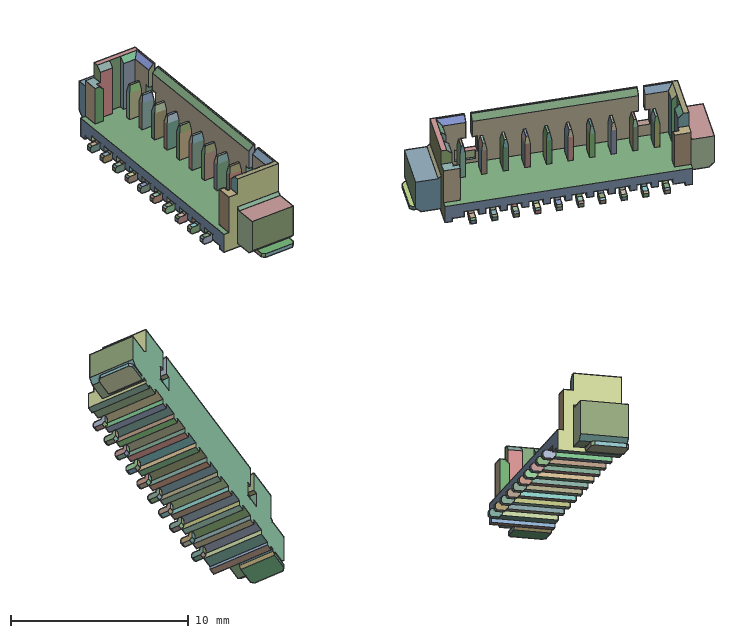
import cadquery as cq

TOTAL_LENGTH = 17.65
TOTAL_DEPTH = 4.2
TOTAL_HEIGHT = 4.7
HALF_LENGTH = TOTAL_LENGTH / 2
SIDES = (-1, 1)

HOUSING_HALF = 7.17
HOUSING_FRONT = -3.72
HOUSING_BOTTOM = 0.3
FLOOR_TOP = 1.29
WALL_FRONT = -2.8
BACK_WALL = 0.42
SIDE_WALL = 0.64
CAVITY_HALF = HOUSING_HALF - SIDE_WALL
LEAD_IN = 0.32
FOOT_WIDTH = 0.42
FOOT_BOTTOM = 0.07

POST_HALF = 6.2
POST_FRONT = -3.39
POST_TOP = 3.69
POST_BEVEL = 0.26

GROOVE_DEPTH = 0.32
GROOVE_BACK = -1.22
GROOVE_FRONT = -1.96

PIN_COUNT = 10
PIN_SPAN = 11.25
PIN_PITCH = PIN_SPAN / (PIN_COUNT - 1)
PIN_WIDTH = 0.32
PIN_BACK = -0.72
PIN_FRONT = -1.54
PIN_SHOULDER = 3.05
PIN_TOP = 3.55
TIP_WIDTH = 0.15
TIP_BACK = -0.8
TIP_FRONT = -1.43
TAIL_HEIGHT = 0.46
TAIL_BACK = -3.45
HEEL_BEVEL = 0.18
TAIL_BEVEL = 0.1
TAIL_SLOPE_FOOT = -3.7
NOTCH_WIDTH = 0.85
NOTCH_TOP = 0.67

OPENING_CENTER = (PIN_COUNT / 2 - 1) * PIN_PITCH
SLOT_WIDTH = 0.37
WINDOW_WIDTH = 0.95
WINDOW_BOTTOM = 2.1
WINDOW_TOP = 3.21
MARK_LEFT = -5.85
MARK_RIGHT = -4.62
MARK_BOTTOM = 1.55
MARK_TOP = 2.38
MARK_DEPTH = 0.12

BLOCK_HALF = 8.65
BLOCK_BOTTOM = 0.34
BLOCK_TOP = 2.63
BLOCK_CHAMFER = 0.32
BLOCK_BEVEL = 0.18
TAB_DEPTH = 2.19
TAB_THICKNESS = 0.25
TAB_INNER = 7.38
TAB_CORNER = 0.18


def box(x0, x1, y0, y1, z0, z1):
    """Box between two opposite corners, given in any order."""
    size = (abs(x1 - x0), abs(y1 - y0), abs(z1 - z0))
    corner = (min(x0, x1), min(y0, y1), min(z0, z1))
    return cq.Workplane("XY").box(*size, centered=False).translate(corner)


def prism_along_y(points, back, front):
    """Extrude an X-Z outline from the back Y to the front Y."""
    return cq.Workplane("XZ", origin=(0, back, 0)).polyline(points).close().extrude(back - front)


def prism_along_x(points, x0, x1):
    """Extrude a Y-Z outline between two X positions, given in any order."""
    return cq.Workplane("YZ", origin=(min(x0, x1), 0, 0)).polyline(points).close().extrude(abs(x1 - x0))


def housing():
    body = box(-HOUSING_HALF, HOUSING_HALF, HOUSING_FRONT, 0, HOUSING_BOTTOM, FLOOR_TOP)
    body = body.union(box(-HOUSING_HALF, HOUSING_HALF, WALL_FRONT, 0, FLOOR_TOP, TOTAL_HEIGHT))
    body = body.cut(box(-CAVITY_HALF, CAVITY_HALF, WALL_FRONT, -BACK_WALL, FLOOR_TOP, TOTAL_HEIGHT))
    return body.cut(lead_in())


def lead_in():
    """Flared mouth of the cavity; it runs past the open front of the walls."""
    front = 2 * WALL_FRONT
    back = -BACK_WALL
    lower = TOTAL_HEIGHT - LEAD_IN
    return (
        cq.Workplane("XY", origin=(0, (front + back) / 2, lower))
        .rect(2 * CAVITY_HALF, back - front)
        .workplane(offset=LEAD_IN)
        .rect(2 * (CAVITY_HALF + LEAD_IN), back - front + 2 * LEAD_IN)
        .loft(ruled=True)
    )


def foot(side):
    inner = HOUSING_HALF - FOOT_WIDTH
    return box(side * inner, side * HOUSING_HALF, HOUSING_FRONT, 0, FOOT_BOTTOM, HOUSING_BOTTOM)


def post(side):
    """Front corner post; its inner rear edge is bevelled where it passes the side wall."""
    block = box(side * POST_HALF, side * HOUSING_HALF, POST_FRONT, WALL_FRONT, FLOOR_TOP, POST_TOP)
    bevel = [
        (WALL_FRONT, POST_TOP),
        (WALL_FRONT - POST_BEVEL, POST_TOP),
        (WALL_FRONT, POST_TOP - POST_BEVEL),
    ]
    return block.cut(prism_along_x(bevel, side * POST_HALF, side * CAVITY_HALF))


def groove(side):
    outer = CAVITY_HALF + GROOVE_DEPTH
    return box(side * CAVITY_HALF, side * outer, GROOVE_FRONT, GROOVE_BACK, FLOOR_TOP, TOTAL_HEIGHT)


def latch_opening(side):
    """Window through the back wall with a narrow slot open to the top."""
    center = side * OPENING_CENTER
    window_left = center - WINDOW_WIDTH / 2
    slot_left = center - SLOT_WIDTH / 2
    window = box(window_left, window_left + WINDOW_WIDTH, -BACK_WALL, 0, WINDOW_BOTTOM, WINDOW_TOP)
    slot = box(slot_left, slot_left + SLOT_WIDTH, -BACK_WALL, 0, WINDOW_TOP, TOTAL_HEIGHT)
    return window.union(slot)


def first_pin_recess():
    """Shallow recess on the inner face of the back wall, at the -X end only."""
    bed = MARK_DEPTH - BACK_WALL
    return box(MARK_LEFT, MARK_RIGHT, -BACK_WALL, bed, MARK_BOTTOM, MARK_TOP)


def end_block(side):
    """Solid block on the housing end, with a bevel where its top meets the housing."""
    outline = [
        (side * HOUSING_HALF, BLOCK_BOTTOM),
        (side * (BLOCK_HALF - BLOCK_CHAMFER), BLOCK_BOTTOM),
        (side * BLOCK_HALF, BLOCK_BOTTOM + BLOCK_CHAMFER),
        (side * BLOCK_HALF, BLOCK_TOP),
        (side * (HOUSING_HALF + BLOCK_BEVEL), BLOCK_TOP),
        (side * HOUSING_HALF, BLOCK_TOP + BLOCK_BEVEL),
    ]
    return prism_along_y(outline, 0, WALL_FRONT)


def solder_tab(side):
    """Flat tab with bevelled outer corners, bent up into the end block."""
    outline = [
        (side * HALF_LENGTH, 0),
        (side * HALF_LENGTH, TAB_THICKNESS),
        (side * (TAB_INNER + TAB_THICKNESS), TAB_THICKNESS),
        (side * (TAB_INNER + TAB_THICKNESS), BLOCK_BOTTOM),
        (side * TAB_INNER, BLOCK_BOTTOM),
        (side * TAB_INNER, TAB_CORNER),
        (side * (TAB_INNER + TAB_CORNER), 0),
    ]
    tab = prism_along_y(outline, 0, -TAB_DEPTH)
    outer_face = ">X" if side > 0 else "<X"
    return tab.faces(outer_face).edges("|Z").chamfer(TAB_CORNER)


def pin(x):
    """Upright contact blade with a tapered tip."""
    blade = box(x - PIN_WIDTH / 2, x + PIN_WIDTH / 2, PIN_FRONT, PIN_BACK, FLOOR_TOP, PIN_SHOULDER)
    tip = (
        cq.Workplane("XY", origin=(x, 0, PIN_SHOULDER))
        .center(0, (PIN_BACK + PIN_FRONT) / 2)
        .rect(PIN_WIDTH, PIN_BACK - PIN_FRONT)
        .workplane(offset=PIN_TOP - PIN_SHOULDER)
        .center(0, (TIP_BACK + TIP_FRONT - PIN_BACK - PIN_FRONT) / 2)
        .rect(TIP_WIDTH, TIP_BACK - TIP_FRONT)
        .loft(ruled=True)
    )
    return blade.union(tip)


def solder_tail(x):
    """Surface-mount tail leaving its notch at the front, bevelled at the end and heel."""
    outline = [
        (TAIL_BACK, NOTCH_TOP),
        (TAIL_BACK, HEEL_BEVEL),
        (TAIL_BACK - HEEL_BEVEL, 0),
        (TAIL_BEVEL - TOTAL_DEPTH, 0),
        (-TOTAL_DEPTH, TAIL_BEVEL),
        (-TOTAL_DEPTH, TAIL_HEIGHT - TAIL_BEVEL),
        (TAIL_BEVEL - TOTAL_DEPTH, TAIL_HEIGHT),
        (TAIL_SLOPE_FOOT, TAIL_HEIGHT),
        (TAIL_SLOPE_FOOT + TAIL_BEVEL, NOTCH_TOP),
    ]
    return prism_along_x(outline, x - PIN_WIDTH / 2, x + PIN_WIDTH / 2)


def tail_notch(x):
    """Channel across the underside, from the front face to the back face."""
    left = x - NOTCH_WIDTH / 2
    return box(left, left + NOTCH_WIDTH, HOUSING_FRONT, 0, HOUSING_BOTTOM, NOTCH_TOP)


result = housing()

for side in SIDES:
    result = result.cut(groove(side)).cut(latch_opening(side))
    result = result.union(foot(side)).union(post(side))
    result = result.union(end_block(side)).union(solder_tab(side))

result = result.cut(first_pin_recess())

for index in range(PIN_COUNT):
    pin_x = (index - (PIN_COUNT - 1) / 2) * PIN_PITCH
    result = result.cut(tail_notch(pin_x))
    result = result.union(pin(pin_x)).union(solder_tail(pin_x))